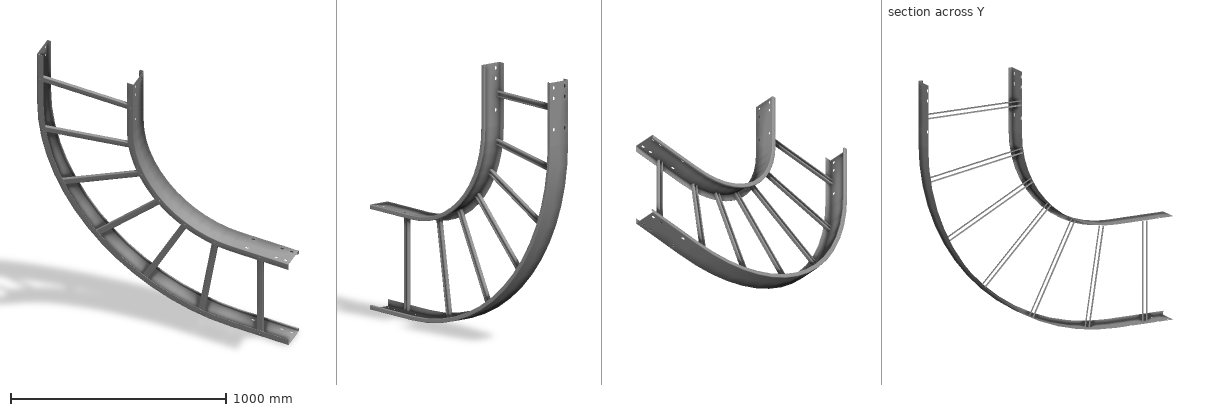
import cadquery as cq
import math


sheet = 1.5
bend_radius = 3.5

overall_size = 1300.0
rail_depth = 110.0
leg_length = 300.0
outer_radius = overall_size - leg_length
inner_radius = 500.0
front_flange = 34.0
back_flange = 21.0
back_lip = 9.0

slot_length = 17.0
slot_height = 9.0
slot_spacing = 66.0
slot_end_distances = (26.0, 75.0, 225.0)

rung_width = 30.0
rung_depth = 17.0
rung_lip = 8.0
bend_rung_count = 5
leg_rung_offset = leg_length - 150.0

fixing_diameter = 5.0
fixing_inset = 15.0


def folded_sheet(plane, corners):
    """The closed outline of a sheet whose outer face runs through the corners.

    Every fold is a right angle and all folds turn the same way.
    """
    points = [cq.Vector(*corner) for corner in corners]
    runs = [(end - start).normalized() for start, end in zip(points, points[1:])]

    outer_arcs = []
    inner_arcs = []
    for corner, before, after in zip(points[1:], runs, runs[1:]):
        centre = corner + (after - before) * bend_radius
        directions = [after * -1, (before - after).normalized(), before]
        outer_arcs.append([centre + way * bend_radius for way in directions])
        inner_arcs.append([centre + way * (bend_radius - sheet) for way in directions])

    first_inside = points[0] + runs[1] * sheet
    last_inside = points[-1] - runs[-2] * sheet
    outline = cq.Workplane(plane).moveTo(points[0].x, points[0].y)
    for start, middle, end in outer_arcs:
        outline = outline.lineTo(start.x, start.y).threePointArc(middle, end)
    outline = outline.lineTo(points[-1].x, points[-1].y).lineTo(last_inside.x, last_inside.y)
    for start, middle, end in reversed(inner_arcs):
        outline = outline.lineTo(end.x, end.y).threePointArc(middle, start)
    return outline.lineTo(first_inside.x, first_inside.y).close()


def place_in_bend(shape, angle, shift):
    """Moves a shape drawn along -X by `shift` along Z, then turns it around the bend."""
    return shape.translate((0, 0, shift)).rotate((0, 0, 0), (0, -1, 0), angle)


def rung_places():
    """The angle around the bend and the shift along the leg of every rung."""
    step = 90 / bend_rung_count
    in_bend = [(step * (i + 0.5), 0) for i in range(bend_rung_count)]
    return [(0, leg_rung_offset), *in_bend, (90, -leg_rung_offset)]


def fixing_hole(radius, angle, shift):
    """A cutter for the fixing hole of one rung, at a distance from the centre of the bend."""
    hole = (
        cq.Workplane("XZ")
        .center(-radius, 0)
        .circle(fixing_diameter / 2)
        .extrude(-rung_depth / 2)
    )
    return place_in_bend(hole, angle, shift)


def leg_slots():
    """Cutters for the slots of the upright and the level leg, long enough for both rails."""
    points = [
        (leg_length - distance, rail_depth / 2 + side * slot_spacing / 2)
        for distance in slot_end_distances
        for side in (-1, 1)
    ]
    return [
        cq.Workplane(plane).pushPoints(points).slot2D(slot_length, slot_height).extrude(reach)
        for plane, reach in (("ZY", overall_size), ("XY", -overall_size))
    ]


def make_rail(web_radius, flange_side):
    """A channel rail; its flanges point towards the centre (1) or away from it (-1)."""

    def inward(distance):
        return -web_radius + flange_side * distance

    def section():
        return folded_sheet(
            "XY",
            [
                (inward(front_flange), 0),
                (inward(0), 0),
                (inward(0), rail_depth),
                (inward(back_flange), rail_depth),
                (inward(back_flange), rail_depth - back_lip),
            ],
        )

    upright_leg = section().extrude(leg_length)
    level_leg = place_in_bend(section().extrude(-leg_length), 90, 0)
    bend = section().revolve(90, (0, 0, 0), (0, -1, 0))
    rail = bend.union(upright_leg).union(level_leg).clean()
    for slots in leg_slots():
        rail = rail.cut(slots)
    for angle, shift in rung_places():
        rail = rail.cut(fixing_hole(web_radius - flange_side * fixing_inset, angle, shift))
    return rail


def make_rung(angle, shift):
    """A lipped channel between the two webs, with its open side to the back."""
    half_width = rung_width / 2
    front = sheet
    back = front + rung_depth
    near = inner_radius + bend_radius
    far = outer_radius - bend_radius
    if shift == 0:
        far = math.sqrt(far**2 - half_width**2)
    section = folded_sheet(
        "YZ",
        [
            (back, rung_lip - half_width),
            (back, -half_width),
            (front, -half_width),
            (front, half_width),
            (back, half_width),
            (back, half_width - rung_lip),
        ],
    )
    rung = section.extrude(near - far).translate((-near, 0, 0))
    rung = place_in_bend(rung, angle, shift)
    for radius in (inner_radius + fixing_inset, outer_radius - fixing_inset):
        rung = rung.cut(fixing_hole(radius, angle, shift))
    return rung


outer_rail = make_rail(outer_radius, 1)
inner_rail = make_rail(inner_radius, -1)
rungs = [make_rung(angle, shift) for angle, shift in rung_places()]

result = cq.Compound.makeCompound([outer_rail.val(), inner_rail.val(), *[rung.val() for rung in rungs]])